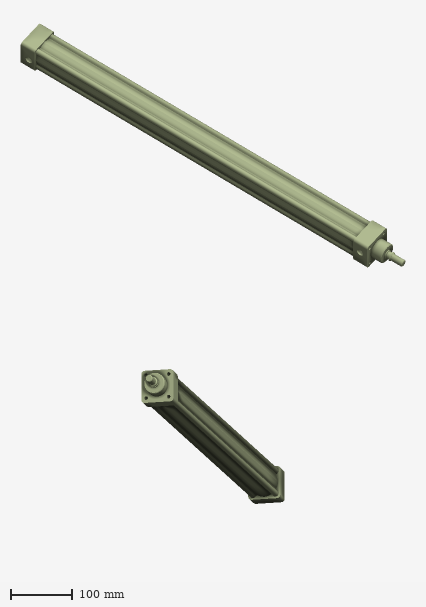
import cadquery as cq
import math

TOTAL_LENGTH = 763.0
REAR_BOSS_LENGTH = 3.0
CAP_LENGTH = 28.0
FRONT_BOSS_LENGTH = 20.5
FRONT_BOSS_END = 729.5
FRONT_CAP_END = FRONT_BOSS_END - FRONT_BOSS_LENGTH
FRONT_CAP_START = FRONT_CAP_END - CAP_LENGTH
BARREL_START = REAR_BOSS_LENGTH + CAP_LENGTH
BARREL_LENGTH = FRONT_CAP_START - BARREL_START

CAP_SIDE = 54.0
CAP_CORNER_RADIUS = 5.0
BOSS_DIAMETER = 35.0
BOSS_CHAMFER = 1.15
SCREW_SPACING = 38.0
SCREW_HOLE_DIAMETER = 6.0
SCREW_HOLE_DEPTH = 15.0
PORT_DIAMETER = 13.0
PORT_DEPTH = 11.0
PORT_OFFSET_Z = 4.5
REAR_PORT_X = 20.0
FRONT_PORT_X = 694.0

SIDES = 4
RIDGE_APEX = 24.0
RIDGE_HALF_WIDTH = 5.0
RIDGE_SLOPE = math.radians(12)
RIDGE_FOOT = RIDGE_APEX - RIDGE_HALF_WIDTH * math.tan(RIDGE_SLOPE)
TUBE_RADIUS = math.hypot(RIDGE_FOOT, RIDGE_HALF_WIDTH)
TUBE_ARC_START = math.atan2(RIDGE_HALF_WIDTH, RIDGE_FOOT)
TUBE_ARC_END = math.radians(28)
RIB_END_CENTER = SCREW_SPACING / 2
RIB_END_RADIUS = 0.66
RIB_FLANK_LENGTH = 0.35

ROD_DIAMETER = 16.0
NECK_DIAMETER = 13.0
THREAD_DIAMETER = 12.0
NECK_START = 732.0
COLLAR_START = 738.0
COLLAR_CHAMFER = 1.5
THREAD_START = 741.0
THREAD_CHAMFER = 1.15


def cylinder(start, length, diameter):
    """Solid cylinder on the X axis."""
    return cq.Workplane("YZ", origin=(start, 0, 0)).circle(diameter / 2).extrude(length)


def cap_block(start):
    """Square cap body with rounded long edges."""
    block = cq.Workplane("YZ", origin=(start, 0, 0)).rect(CAP_SIDE, CAP_SIDE).extrude(CAP_LENGTH)
    return block.edges("|X").fillet(CAP_CORNER_RADIUS)


def screw_holes(start):
    """Four blind-hole cutters in a square pattern, starting at the given X."""
    return (
        cq.Workplane("YZ", origin=(start, 0, 0))
        .rect(SCREW_SPACING, SCREW_SPACING, forConstruction=True)
        .vertices()
        .circle(SCREW_HOLE_DIAMETER / 2)
        .extrude(SCREW_HOLE_DEPTH)
    )


def port(x, z):
    """Cutter for a round air port sunk into the -Y face of a cap."""
    face = cq.Workplane("XZ", origin=(x, -CAP_SIDE / 2, z))
    return face.circle(PORT_DIAMETER / 2).extrude(-PORT_DEPTH)


def make_rear_cap():
    boss = cylinder(0, REAR_BOSS_LENGTH, BOSS_DIAMETER)
    cap = cap_block(REAR_BOSS_LENGTH).union(boss)
    return cap.cut(screw_holes(REAR_BOSS_LENGTH)).cut(port(REAR_PORT_X, -PORT_OFFSET_Z))


def make_front_cap():
    boss = cylinder(FRONT_CAP_END, FRONT_BOSS_LENGTH, BOSS_DIAMETER).faces(">X").chamfer(BOSS_CHAMFER)
    cap = cap_block(FRONT_CAP_START).union(boss)
    cap = cap.cut(screw_holes(FRONT_CAP_END - SCREW_HOLE_DEPTH)).cut(port(FRONT_PORT_X, PORT_OFFSET_Z))
    rod_bore = cylinder(FRONT_CAP_START, FRONT_BOSS_END - FRONT_CAP_START, ROD_DIAMETER)
    return cap.cut(rod_bore)


def tube_point(angle):
    """Point on the tube's outer circle."""
    return (TUBE_RADIUS * math.cos(angle), TUBE_RADIUS * math.sin(angle))


def rib_point(along, across):
    """Point given along and across the first-quadrant diagonal, from the rib's end centre."""
    half_root = math.sqrt(29.11)
    return (
        RIB_END_CENTER + (along + across) * half_root,
        RIB_END_CENTER + (along - across) * half_root,
    )


def turned(point, quarter_turns):
    """Point turned round the origin by whole quarter turns."""
    u, v = point
    for _ in range(quarter_turns):
        u, v = -v, u
    return (u, v)


def mirrored(point):
    """Point mirrored in the first-quadrant diagonal."""
    u, v = point
    return (v, u)


def make_barrel():
    apex = (RIDGE_APEX, 0)
    foot = (RIDGE_FOOT, RIDGE_HALF_WIDTH)
    tube_middle = tube_point((TUBE_ARC_START + TUBE_ARC_END) / 2)
    tube_end = tube_point(TUBE_ARC_END)
    rib_root = rib_point(-RIB_FLANK_LENGTH, RIB_END_RADIUS)
    rib_shoulder = rib_point(0, RIB_END_RADIUS)
    rib_tip = rib_point(RIB_END_RADIUS, 0)

    outline = cq.Workplane("YZ", origin=(BARREL_START, 0, 0)).moveTo(*apex)
    for turn in range(SIDES):
        outline = (
            outline.lineTo(*turned(foot, turn))
            .threePointArc(turned(tube_middle, turn), turned(tube_end, turn))
            .lineTo(*turned(rib_root, turn))
            .lineTo(*turned(rib_shoulder, turn))
            .threePointArc(turned(rib_tip, turn), turned(mirrored(rib_shoulder), turn))
            .lineTo(*turned(mirrored(rib_root), turn))
            .lineTo(*turned(mirrored(tube_end), turn))
            .threePointArc(turned(mirrored(tube_middle), turn), turned(mirrored(foot), turn))
            .lineTo(*turned(apex, turn + 1))
        )
    return outline.close().extrude(BARREL_LENGTH)


def make_rod():
    shank = cylinder(FRONT_CAP_START, NECK_START - FRONT_CAP_START, ROD_DIAMETER)
    neck = cylinder(NECK_START, COLLAR_START - NECK_START, NECK_DIAMETER)
    collar = cylinder(COLLAR_START, THREAD_START - COLLAR_START, ROD_DIAMETER)
    collar = collar.faces(">X").chamfer(COLLAR_CHAMFER)
    thread = cylinder(THREAD_START, TOTAL_LENGTH - THREAD_START, THREAD_DIAMETER)
    thread = thread.faces(">X").chamfer(THREAD_CHAMFER)
    return shank.union(neck).union(collar).union(thread)


rear_cap = make_rear_cap()
barrel = make_barrel()
front_cap = make_front_cap()
rod = make_rod()

result = cq.Compound.makeCompound([rear_cap.val(), barrel.val(), front_cap.val(), rod.val()])